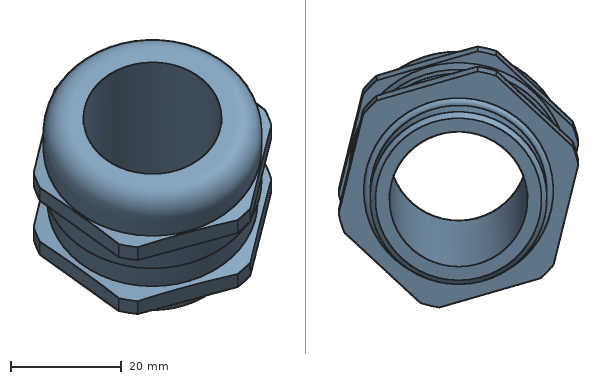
import cadquery as cq
import math

total_height = 38.0
bore_radius = 12.5

thread_radius = 16.0
thread_chamfer = 0.97
collar_bottom = 6.2
collar_radius = 17.15

body_radius = 19.05
nut_bottom = 19.0
nut_radius = 19.75
dome_fillet = 4.5

across_flats = 40.0
corner_radius = 22.15
hex_height = 4.5
hex_bevel_drop = 0.55
lower_hex_bottom = 8.0
upper_hex_bottom = 24.6


def cylinder(radius, bottom, top):
    return cq.Workplane("XY").workplane(offset=bottom).circle(radius).extrude(top - bottom)


def bevelled_hexagon(bottom):
    """Hexagon with corners on X, rounded corners and a conical top bevel."""
    corner_diameter = across_flats / math.cos(math.pi / 6)
    top = bottom + hex_height
    prism = (
        cq.Workplane("XY")
        .workplane(offset=bottom)
        .polygon(6, corner_diameter)
        .extrude(hex_height)
    )
    turned_blank = (
        cq.Workplane("XZ")
        .moveTo(0, bottom)
        .lineTo(corner_radius, bottom)
        .lineTo(corner_radius, top - hex_bevel_drop)
        .lineTo(body_radius, top)
        .lineTo(0, top)
        .close()
        .revolve(360, (0, 0, 0), (0, 1, 0))
    )
    return prism.intersect(turned_blank)


def rounded_collar():
    """Sealing ring with a half-round rim filling the gap below the lower hexagon."""
    rim_radius = (lower_hex_bottom - collar_bottom) / 2
    rim_centre = collar_radius - rim_radius
    return (
        cq.Workplane("XZ")
        .moveTo(0, collar_bottom)
        .lineTo(rim_centre, collar_bottom)
        .threePointArc((collar_radius, collar_bottom + rim_radius), (rim_centre, lower_hex_bottom))
        .lineTo(0, lower_hex_bottom)
        .close()
        .revolve(360, (0, 0, 0), (0, 1, 0))
    )


thread = cylinder(thread_radius, 0, lower_hex_bottom).faces("<Z").chamfer(thread_chamfer)
collar = rounded_collar()
body = cylinder(body_radius, lower_hex_bottom, nut_bottom)
dome_nut = cylinder(nut_radius, nut_bottom, total_height).faces(">Z").edges().fillet(dome_fillet)

result = thread.union(collar).union(body).union(dome_nut)
for hex_bottom in (lower_hex_bottom, upper_hex_bottom):
    result = result.union(bevelled_hexagon(hex_bottom))

result = result.cut(cylinder(bore_radius, 0, total_height))